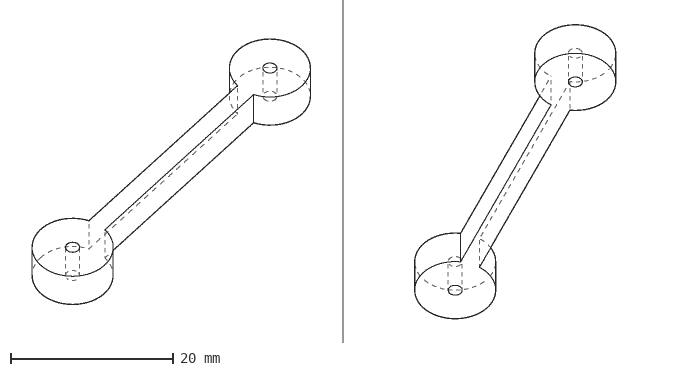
import cadquery as cq

overall_length = 49.3
eye_diameter = 10.0
thickness = 5.0
arm_width = 2.5
hole_diameter = 1.75

eye_spacing = overall_length - eye_diameter
eye_centres = [(0, -eye_spacing / 2), (0, eye_spacing / 2)]

arm = cq.Workplane("XY").rect(arm_width, eye_spacing).extrude(thickness)

eyes = cq.Workplane("XY").pushPoints(eye_centres).circle(eye_diameter / 2).extrude(thickness)

holes = cq.Workplane("XY").pushPoints(eye_centres).circle(hole_diameter / 2).extrude(thickness)

result = arm.union(eyes).cut(holes)